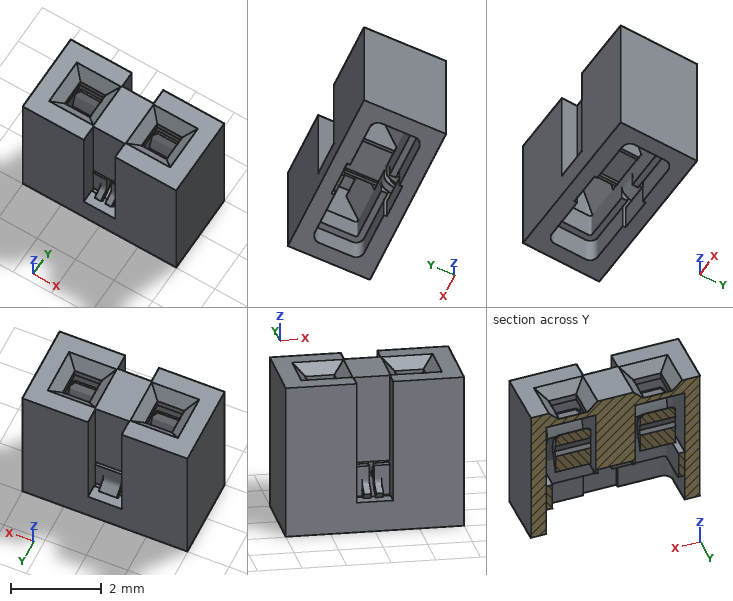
import cadquery as cq
import math

length = 4.0
width = length / 2
height = 3.5

pin_spacing = 2.0
mouth_size = 1.15
throat_size = 0.65
funnel_depth = (mouth_size - throat_size) / 2
throat_bottom = 3.095

cavity_length = 3.27
cavity_width = 1.2
cavity_corner_radius = 0.2

web_length = 0.95

slot_width = 0.815
slot_floor = 0.7
tunnel_width = 1.345
tunnel_top = 1.5

metal = 0.15
band_top = 1.4
band_bottom = slot_floor
seam_gap = 0.11

tongue_width = 0.435
tongue_top = 1.09
tongue_bend_radius = 0.16
tongue_lean = math.radians(56.5)
tongue_reach = 0.22

arm_width = 0.84
arm_tip_width = 0.65
arm_tip = (0.34, 2.79)
arm_tip_outer = (0.405, 2.77)
arm_lead_end = (0.245, 2.65)
arm_pinch = (0.15, 2.31)
arm_bulge = 0.007

band_half_width = cavity_width / 2
pin_positions = (-pin_spacing / 2, pin_spacing / 2)


def block(x_size, y_size, z_low, z_high):
    """Box centred on the Z axis between two heights."""
    return cq.Workplane("XY").workplane(offset=z_low).rect(x_size, y_size).extrude(z_high - z_low)


def pin_entry(x):
    """Square funnel and guide hole for one pin."""
    funnel = (
        cq.Workplane("XY", origin=(x, 0, height))
        .rect(mouth_size, mouth_size)
        .workplane(offset=-funnel_depth)
        .rect(throat_size, throat_size)
        .loft(ruled=True)
    )
    throat = block(throat_size, throat_size, throat_bottom, height - funnel_depth)
    return funnel.union(throat.translate((x, 0, 0)))


def make_housing():
    body = block(length, width, 0, height)
    cavity = block(cavity_length, cavity_width, 0, throat_bottom).edges("|Z").fillet(cavity_corner_radius)
    web = block(web_length, cavity_width, band_top, throat_bottom)
    body = body.cut(cavity.cut(web))
    for x in pin_positions:
        body = body.cut(pin_entry(x))

    slot_depth = (width - cavity_width) / 2
    slot = block(slot_width, slot_depth, slot_floor, height)
    slot_middle = (width - slot_depth) / 2
    for side in (-1, 1):
        body = body.cut(slot.translate((0, side * slot_middle, 0)))
    return body.cut(block(slot_width, tunnel_width, 0, tunnel_top))


def across(profile, size):
    """Extrude a closed YZ profile to a given size, centred on X = 0."""
    return profile.close().extrude(size / 2, both=True)


def make_tongue():
    """Latch tongue bent outward from the +Y side of the band."""
    bend_middle = band_half_width + tongue_bend_radius

    def on_bend(radius, angle):
        return (bend_middle - radius * math.cos(angle), tongue_top - radius * math.sin(angle))

    def beyond(point):
        return (
            point[0] + tongue_reach * math.sin(tongue_lean),
            point[1] - tongue_reach * math.cos(tongue_lean),
        )

    outer = tongue_bend_radius
    inner = tongue_bend_radius + metal
    profile = (
        cq.Workplane("YZ")
        .moveTo(*on_bend(outer, 0))
        .threePointArc(on_bend(outer, tongue_lean / 2), on_bend(outer, tongue_lean))
        .lineTo(*beyond(on_bend(outer, tongue_lean)))
        .lineTo(*beyond(on_bend(inner, tongue_lean)))
        .lineTo(*on_bend(inner, tongue_lean))
        .threePointArc(on_bend(inner, tongue_lean / 2), on_bend(inner, 0))
    )
    return across(profile, tongue_width)


def make_arm():
    """Spring arm rising from the +Y side of the band, centred on X = 0."""
    grip_y = arm_lead_end[0] - arm_pinch[0]
    grip_z = arm_lead_end[1] - arm_pinch[1]
    grip_length = math.hypot(grip_y, grip_z)
    grip_middle = (
        (arm_lead_end[0] + arm_pinch[0]) / 2 - arm_bulge * grip_z / grip_length,
        (arm_lead_end[1] + arm_pinch[1]) / 2 + arm_bulge * grip_y / grip_length,
    )
    profile = (
        cq.Workplane("YZ")
        .moveTo(band_half_width, band_top)
        .lineTo(arm_pinch[0] + metal, arm_pinch[1])
        .lineTo(*arm_tip_outer)
        .lineTo(*arm_tip)
        .lineTo(*arm_lead_end)
        .threePointArc(grip_middle, arm_pinch)
        .lineTo(band_half_width - metal, band_top)
    )
    corner_cut = (arm_width - arm_tip_width) / 2
    outline = (
        cq.Workplane("XZ")
        .moveTo(-arm_width / 2, band_top)
        .lineTo(arm_width / 2, band_top)
        .lineTo(arm_width / 2, arm_tip[1] - corner_cut)
        .lineTo(arm_tip_width / 2, arm_tip[1])
        .lineTo(-arm_tip_width / 2, arm_tip[1])
        .lineTo(-arm_width / 2, arm_tip[1] - corner_cut)
        .close()
        .extrude(cavity_width / 2, both=True)
    )
    return across(profile, arm_width).intersect(outline)


def make_contact():
    outside = block(cavity_length, cavity_width, band_bottom, band_top)
    outside = outside.edges("|Z").fillet(cavity_corner_radius)
    inside = block(cavity_length - 2 * metal, cavity_width - 2 * metal, band_bottom, band_top)
    inside = inside.edges("|Z").fillet(cavity_corner_radius - metal)
    contact = outside.cut(inside)

    contact = contact.cut(block(tongue_width, cavity_width, band_bottom, tongue_top))

    tongue = make_tongue()
    arm = make_arm()
    for turn in (0, 180):
        contact = contact.union(tongue.rotate((0, 0, 0), (0, 0, 1), turn))
        for x in pin_positions:
            contact = contact.union(arm.translate((x, 0, 0)).rotate((0, 0, 0), (0, 0, 1), turn))

    seam = block(seam_gap, width / 2, 0, height).translate((0, -width / 4, 0))
    return contact.cut(seam)


housing = make_housing()
contact = make_contact()
result = cq.Compound.makeCompound([housing.val(), contact.val()])